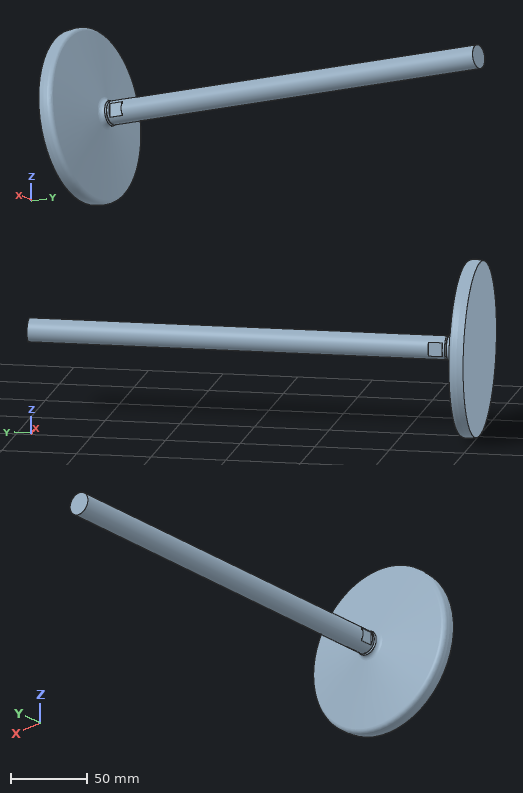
import cadquery as cq

TOTAL_LENGTH = 302.0
HEAD_RADIUS = 118.0 / 2
STEM_RADIUS = 16.0 / 2

RIM_TAPER = 0.5
FACE_RADIUS = HEAD_RADIUS - RIM_TAPER
BAND_START = 4.2
BAND_END = 7.0
SHOULDER_Y = 9.7
SHOULDER_FILLET = 3.0

CONE_TOP = 17.8
NECK_RADIUS = 8.5
NECK_FILLET = 3.0

JOINT_Y = 21.5
JOINT_RADIUS = 7.2
NECK_CHAMFER_LENGTH = 0.5
STEM_CHAMFER = STEM_RADIUS - JOINT_RADIUS

FLAT_START = 24.0
FLAT_LENGTH = 9.5
ACROSS_FLATS = 13.0
FLAT_SIDES = (-1, 1)


def make_head():
    """Revolve the disc, its conical back and the neck about Y."""
    profile = (
        cq.Workplane("XY")
        .lineTo(FACE_RADIUS, 0)
        .lineTo(HEAD_RADIUS, BAND_START)
        .lineTo(HEAD_RADIUS, BAND_END)
        .lineTo(FACE_RADIUS, SHOULDER_Y)
        .lineTo(NECK_RADIUS, CONE_TOP)
        .lineTo(NECK_RADIUS, JOINT_Y - NECK_CHAMFER_LENGTH)
        .lineTo(JOINT_RADIUS, JOINT_Y)
        .lineTo(0, JOINT_Y)
        .close()
    )
    head = profile.revolve(360, (0, 0, 0), (0, 1, 0))
    head = head.edges(cq.NearestToPointSelector((0, SHOULDER_Y, 0))).fillet(SHOULDER_FILLET)
    return head.edges(cq.NearestToPointSelector((0, CONE_TOP, 0))).fillet(NECK_FILLET)


def flat_cutter(side):
    """Block that leaves one flat on the stem; side is -1 or +1 along X."""
    depth = STEM_RADIUS
    width = 2 * STEM_RADIUS
    center = (side * (ACROSS_FLATS + depth) / 2, FLAT_START + FLAT_LENGTH / 2, 0)
    return cq.Workplane("XY").box(depth, FLAT_LENGTH, width).translate(center)


def make_stem():
    """Round rod with a chamfered head end and two flats close to it."""
    rod = cq.Workplane("XZ", origin=(0, JOINT_Y, 0)).circle(STEM_RADIUS).extrude(JOINT_Y - TOTAL_LENGTH)
    stem = rod.faces("<Y").chamfer(STEM_CHAMFER)
    for side in FLAT_SIDES:
        stem = stem.cut(flat_cutter(side))
    return stem


head = make_head()
stem = make_stem()
result = cq.Compound.makeCompound([head.val(), stem.val()])